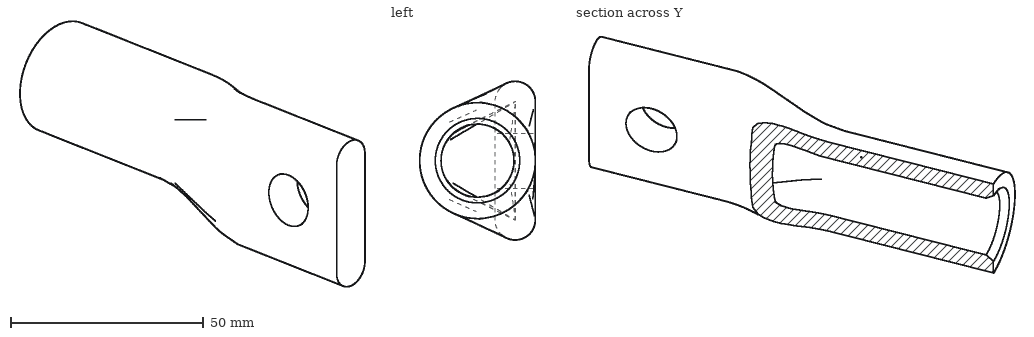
import cadquery as cq
import math

total_length = 115.1
tube_length = 45.8
palm_start = 77.1
tube_diameter = 30.2
bore_diameter = 19.0
bore_mouth_diameter = 22.0
bore_mouth_depth = 2.1
palm_width = 41.3
palm_thickness = 10.6
hole_diameter = 14.3
hole_x = 97.6
seam_gap = 0.1

transition_length = palm_start - tube_length
transition_steps = 6
end_slope = 0.2
flat_half_angle = math.radians(30)

tube_radius = tube_diameter / 2
palm_center_y = palm_thickness / 2
flat_half_width = (palm_width - palm_thickness) / 2
palm_length = total_length - palm_start


def blend(start, end, t):
    """Ease from start to end, level at the tube and nearly level at the palm."""
    eased = 3 * t**2 - 2 * t**3 + end_slope * (t**3 - t**2)
    return start + (end - start) * eased


def section_wire(radius, slot_height, t):
    """Section at fraction t between a circle and a round-ended slot."""
    x = tube_length + transition_length * t
    center_y = blend(tube_radius, palm_center_y, t)
    corner_z = blend(radius * math.sin(flat_half_angle), flat_half_width, t)
    corner_y = blend(radius * math.cos(flat_half_angle), slot_height / 2, t)
    crown_y = blend(radius, slot_height / 2, t)
    side_z = blend(radius, flat_half_width + slot_height / 2, t)

    def point(y, z):
        return cq.Vector(x, center_y + y, z)

    def flat(y_sign):
        start = point(y_sign * corner_y, -y_sign * corner_z)
        end = point(y_sign * corner_y, y_sign * corner_z)
        if t == 1:
            return cq.Edge.makeLine(start, end)
        return cq.Edge.makeThreePointArc(start, point(y_sign * crown_y, 0), end)

    def side(z_sign):
        start = point(z_sign * corner_y, z_sign * corner_z)
        end = point(-z_sign * corner_y, z_sign * corner_z)
        return cq.Edge.makeThreePointArc(start, point(0, z_sign * side_z), end)

    return cq.Wire.assembleEdges([flat(1), side(1), flat(-1), side(-1)])


def transition(radius, slot_height):
    """Smooth body from a circle of the given radius to a slot of the given height."""
    steps = range(transition_steps + 1)
    wires = [section_wire(radius, slot_height, i / transition_steps) for i in steps]
    return cq.Workplane(obj=cq.Solid.makeLoft(wires))


tube_end = cq.Workplane("YZ").center(tube_radius, 0)

tube = tube_end.circle(tube_radius).extrude(tube_length)
palm = (
    cq.Workplane("YZ", origin=(palm_start, 0, 0))
    .center(palm_center_y, 0)
    .slot2D(palm_width, palm_thickness, 90)
    .extrude(palm_length)
)
body = tube.union(transition(tube_radius, palm_thickness)).union(palm)

bore = tube_end.circle(bore_diameter / 2).extrude(tube_length)
cavity = transition(bore_diameter / 2, seam_gap)
bore_mouth = (
    tube_end.circle(bore_mouth_diameter / 2)
    .workplane(offset=bore_mouth_depth)
    .circle(bore_diameter / 2)
    .loft()
)

bolt_hole = (
    cq.Workplane("XZ")
    .center(hole_x, 0)
    .circle(hole_diameter / 2)
    .extrude(-palm_thickness)
)

result = body.cut(bore).cut(cavity).cut(bore_mouth).cut(bolt_hole).solids()